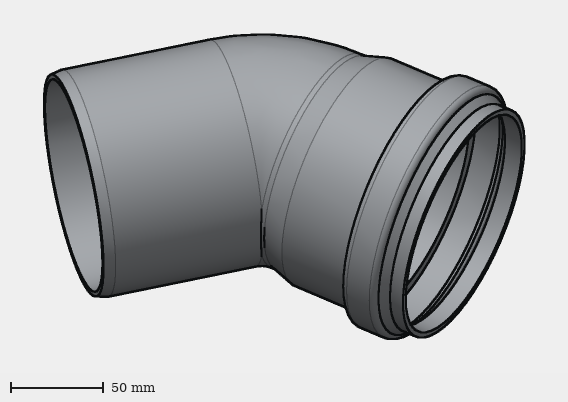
import cadquery as cq
import math

overall_length = 243.0
bend_angle = 45.0
bend_radius = 59.8
pipe_radius = 125.5 / 2
pipe_bore_radius = 117.1 / 2

taper_length = 6.3
taper_depth = 1.5

socket_radius = 133.6 / 2
socket_bore_radius = 125.9 / 2
bead_radius = 147.5 / 2
bead_face_radius = 140.2 / 2
bead_rounding = bead_radius - bead_face_radius
rim_radius = 133.0 / 2
rim_bore_radius = 126.5 / 2

socket_length = 91.5
rim_depth = 8.0
bead_start = 13.1
bead_end = 34.5
socket_shoulder = 75.0
collar_start = 88.5

lip_start = 10.5
lip_end = 12.0
lip_end_radius = 65.0
groove_wall_end = 15.0
groove_wall_radius = 68.8
groove_floor_start = 17.5
groove_floor_radius = 70.0
groove_end = 32.5
bore_shoulder = 73.6

angle = math.radians(bend_angle)
spigot_length = (
    overall_length
    - bend_radius * math.sin(angle)
    - socket_length * math.cos(angle)
    - rim_radius * math.sin(angle)
)

socket_plane = cq.Plane(
    origin=(
        bend_radius * (1 - math.cos(angle)),
        spigot_length + bend_radius * math.sin(angle),
        0,
    ),
    xDir=(math.cos(angle), -math.sin(angle), 0),
    normal=(0, 0, 1),
)


def turn(sketch):
    """Revolve a half profile a full turn about the local Y axis."""
    return sketch.close().revolve(360, (0, 0, 0), (0, 1, 0))


def bend(radius):
    """Sweep a disc around the bend, keeping only its side outward of the bend axis."""
    section = cq.Workplane("XZ", origin=(0, spigot_length, 0))
    if radius <= bend_radius:
        section = section.circle(radius)
    else:
        half_chord = math.sqrt(radius**2 - bend_radius**2)
        section = (
            section.moveTo(bend_radius, half_chord)
            .threePointArc((-radius, 0), (bend_radius, -half_chord))
            .close()
        )
    return section.revolve(bend_angle, (bend_radius, 2.5, 0), (bend_radius, 0, 0))


def spigot_body():
    return turn(
        cq.Workplane("XY")
        .lineTo(pipe_radius - taper_depth, 0)
        .lineTo(pipe_radius, taper_length)
        .lineTo(pipe_radius, spigot_length)
        .lineTo(0, spigot_length)
    )


def spigot_bore():
    return cq.Workplane("XZ").circle(pipe_bore_radius).extrude(-spigot_length)


def from_mouth(depth):
    """Local Y of a point at the given depth behind the open mouth."""
    return socket_length - depth


def socket_body():
    arc_offset = bead_rounding * math.sqrt(0.5)
    arc_radius = bead_face_radius + arc_offset
    front_arc = bead_start + bead_rounding
    back_arc = bead_end - bead_rounding
    return turn(
        cq.Workplane(socket_plane)
        .lineTo(pipe_radius, 0)
        .lineTo(pipe_radius, from_mouth(collar_start))
        .lineTo(socket_radius, from_mouth(socket_shoulder))
        .lineTo(socket_radius, from_mouth(bead_end))
        .lineTo(bead_face_radius, from_mouth(bead_end))
        .threePointArc(
            (arc_radius, from_mouth(back_arc + arc_offset)),
            (bead_radius, from_mouth(back_arc)),
        )
        .lineTo(bead_radius, from_mouth(front_arc))
        .threePointArc(
            (arc_radius, from_mouth(front_arc - arc_offset)),
            (bead_face_radius, from_mouth(bead_start)),
        )
        .lineTo(rim_radius, from_mouth(rim_depth))
        .lineTo(rim_radius, from_mouth(0))
        .lineTo(0, from_mouth(0))
    )


def socket_bore():
    return turn(
        cq.Workplane(socket_plane)
        .lineTo(pipe_bore_radius, 0)
        .lineTo(pipe_bore_radius, from_mouth(collar_start))
        .lineTo(socket_bore_radius, from_mouth(bore_shoulder))
        .lineTo(socket_bore_radius, from_mouth(groove_end))
        .lineTo(groove_floor_radius, from_mouth(groove_end))
        .lineTo(groove_floor_radius, from_mouth(groove_floor_start))
        .lineTo(groove_wall_radius, from_mouth(groove_wall_end))
        .lineTo(lip_end_radius, from_mouth(lip_end))
        .lineTo(rim_bore_radius, from_mouth(lip_start))
        .lineTo(rim_bore_radius, from_mouth(0))
        .lineTo(0, from_mouth(0))
    )


body = spigot_body().union(bend(pipe_radius)).union(socket_body())
result = body.cut(spigot_bore()).cut(bend(pipe_bore_radius)).cut(socket_bore())